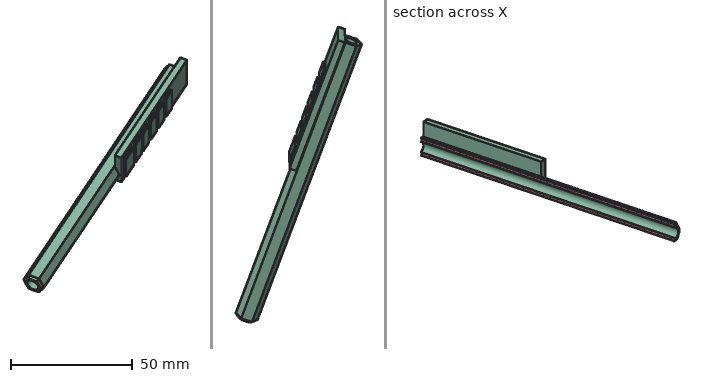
import cadquery as cq
import math

length = 130.0
overall_width = 11.3
overall_height = 15.0

across_flats = 8.2
bore_diameter = 5.1
end_chamfer = 1.0
corner_radius = across_flats / math.sqrt(3)

plate_length = 60.0
plate_thickness = 3.0

pad_height = 1.0
pad_bottom_margin = 1.4
pad_top_margin = 2.7
pad_spans = [
    (15.5, 5.3),
    (22.8, 5.1),
    (29.5, 5.3),
    (36.5, 5.5),
    (43.3, 5.3),
    (50.3, 7.3),
]

bottom_z = -across_flats / 2
plate_outer_x = overall_width - corner_radius - pad_height


def box_between(x_range, y_range, z_range):
    """Axis-aligned box given by its limits along X, Y and Z."""
    sizes = [high - low for low, high in (x_range, y_range, z_range)]
    corner = (x_range[0], y_range[0], z_range[0])
    return cq.Workplane("XY").box(*sizes, centered=False).translate(corner)


def make_bar():
    """Hexagonal bar with flats facing up and down, front end at Y = 0."""
    bar = cq.Workplane("XZ").polygon(6, 2 * corner_radius).extrude(-length)
    return bar.faces("<Y").chamfer(end_chamfer)


def make_plate():
    """Upright plate, flush with the underside and the rear end of the bar."""
    return box_between(
        (plate_outer_x - plate_thickness, plate_outer_x),
        (length - plate_length, length),
        (bottom_z, bottom_z + overall_height),
    )


def make_pad(rear_distance, width):
    """Raised pad, rooted halfway into the plate."""
    rear_y = length - rear_distance
    return box_between(
        (plate_outer_x - plate_thickness / 2, plate_outer_x + pad_height),
        (rear_y - width, rear_y),
        (bottom_z + pad_bottom_margin, bottom_z + overall_height - pad_top_margin),
    )


body = make_bar().union(make_plate())
for rear_distance, width in pad_spans:
    body = body.union(make_pad(rear_distance, width))

bore = cq.Workplane("XZ").circle(bore_diameter / 2).extrude(-length)
result = body.cut(bore)